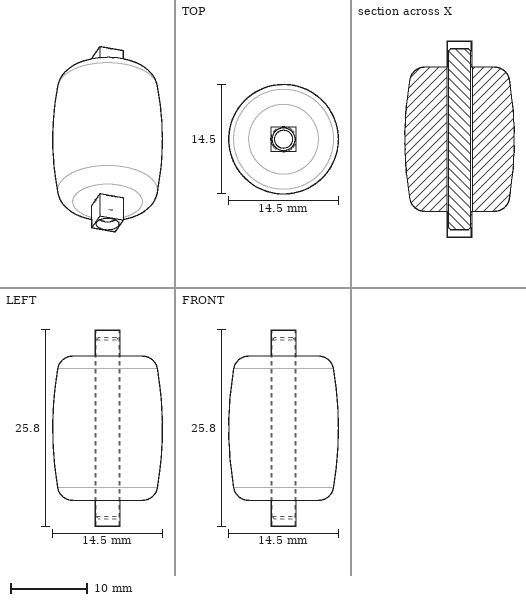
import cadquery as cq

overall_length = 25.8
roller_length = 19.0
roller_mid_diameter = 14.45
roller_end_diameter = 12.51
rim_radius = 2.0
bore_diameter = 3.3
axle_diameter = 3.0
axle_recess = 1.0
axle_chamfer = 0.3
block_side = 3.28

block_length = (overall_length - roller_length) / 2
axle_length = overall_length - 2 * axle_recess


def make_roller():
    """Barrel-shaped roller with rounded rims and a clearance bore."""
    half_length = roller_length / 2
    mid_radius = roller_mid_diameter / 2
    end_radius = roller_end_diameter / 2
    barrel = (
        cq.Workplane("XZ")
        .moveTo(0, -half_length)
        .lineTo(end_radius, -half_length)
        .threePointArc((mid_radius, 0), (end_radius, half_length))
        .lineTo(0, half_length)
        .close()
        .revolve(360, (0, 0), (0, 1))
    )
    rounded = barrel.faces("<Z or >Z").edges().fillet(rim_radius)
    bore = cq.Workplane("XY").circle(bore_diameter / 2).extrude(half_length, both=True)
    return rounded.cut(bore)


def make_axle():
    """Straight round axle, chamfered at both tips."""
    rod = cq.Workplane("XY").circle(axle_diameter / 2).extrude(axle_length / 2, both=True)
    return rod.faces("<Z or >Z").edges().chamfer(axle_chamfer)


def make_end_block(end):
    """Square block on one roller end, bored through for the axle; end is +1 or -1."""
    return (
        cq.Workplane("XY", origin=(0, 0, end * roller_length / 2))
        .rect(block_side, block_side)
        .circle(axle_diameter / 2)
        .extrude(end * block_length)
    )


roller = make_roller()
axle = make_axle()
end_blocks = [make_end_block(end) for end in (-1, 1)]

result = cq.Compound.makeCompound([roller.val(), axle.val(), *[block.val() for block in end_blocks]])